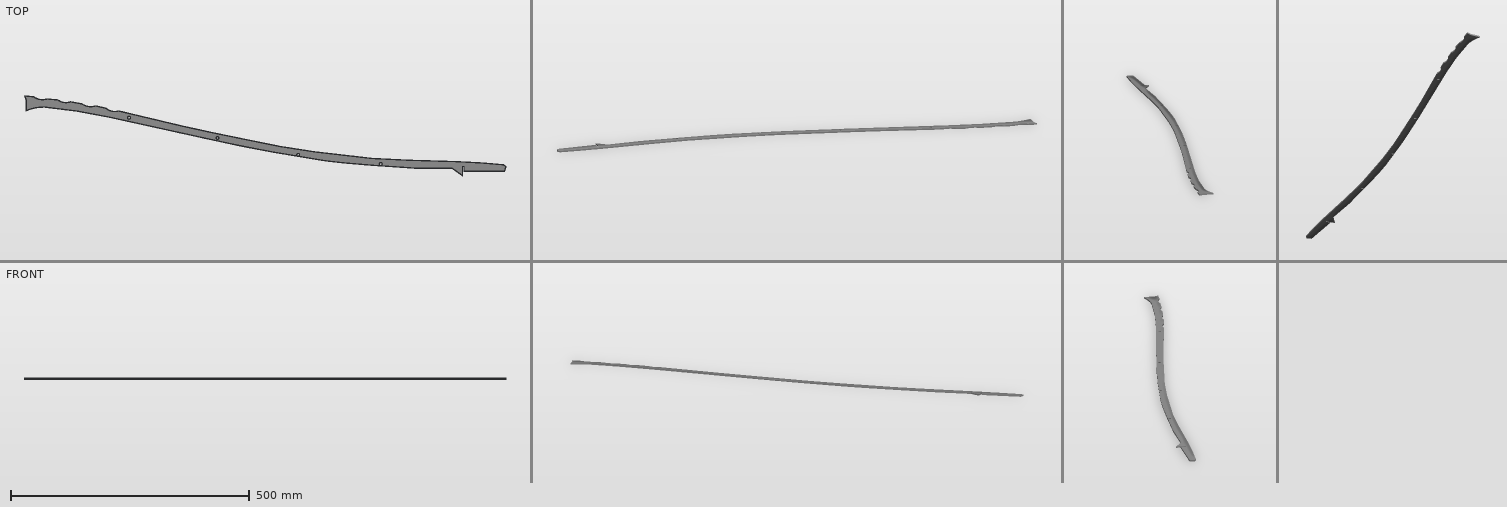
import cadquery as cq

LENGTH = 1011.0
WIDTH = 168.0
THICKNESS = 3.0

FLARE_HEEL = (0.0, WIDTH)
FLARE_SHOULDER = (3.5, 159.0)
FLARE_TOE = (3.5, 136.5)
FLARE_MID = (20.0, 141.8)

SCALLOP_ENDS = [
    ((19.0, 166.0), (47.5, 161.5)),
    ((70.0, 159.5), (97.0, 155.5)),
    ((121.0, 151.0), (149.0, 147.0)),
    ((171.0, 142.0), (197.5, 136.3)),
]
SCALLOP_DEPTH = 3.5
UPPER_CURVE = [
    (274.0, 118.1),
    (365.0, 96.9),
    (457.0, 78.0),
    (548.0, 59.6),
    (640.0, 46.5),
    (731.0, 36.5),
    (822.0, 32.4),
]

END_TOP = (1006.0, 23.3)
END_NOSE = (LENGTH, 19.0)
END_BOTTOM = (1008.0, 9.0)

BARB_ROOT = (898.0, 15.4)
BARB_TIP = (919.8, 0.0)
SLOT_WIDTH = 3.0
SLOT_TOP = 19.2

LOWER_CURVE = [
    (822.0, 15.6),
    (731.0, 21.7),
    (640.0, 30.2),
    (548.0, 44.8),
    (457.0, 61.8),
    (365.0, 81.8),
    (274.0, 102.2),
    (183.0, 121.8),
    (91.0, 138.5),
    (42.0, 144.0),
]

HOLE_DIAMETER = 5.5
HOLE_CENTRES = [(219.5, 121.8), (405.0, 79.3), (574.5, 43.8), (748.0, 24.6)]


def scallop_bottom(start, end):
    """Lowest point of a scallop: SCALLOP_DEPTH below the middle of its chord."""
    return ((start[0] + end[0]) / 2, (start[1] + end[1]) / 2 - SCALLOP_DEPTH)


def bar_outline():
    """Closed outline of the bar, clockwise from the heel of the flared end."""
    outline = cq.Workplane("XY").moveTo(*FLARE_HEEL)
    for start, end in SCALLOP_ENDS:
        outline = outline.lineTo(*start).threePointArc(scallop_bottom(start, end), end)
    outline = outline.spline(UPPER_CURVE + [END_TOP], includeCurrent=True)
    outline = outline.lineTo(*END_NOSE).lineTo(*END_BOTTOM)

    slot_right = BARB_TIP[0] + SLOT_WIDTH
    outline = outline.lineTo(slot_right, END_BOTTOM[1]).lineTo(slot_right, SLOT_TOP)
    outline = outline.lineTo(BARB_TIP[0], SLOT_TOP).lineTo(*BARB_TIP).lineTo(*BARB_ROOT)

    outline = outline.spline(LOWER_CURVE, includeCurrent=True)
    outline = outline.threePointArc(FLARE_MID, FLARE_TOE).lineTo(*FLARE_SHOULDER)
    return outline.close()


def through_holes():
    """Cylinders that cut the holes through the full thickness."""
    return cq.Workplane("XY").pushPoints(HOLE_CENTRES).circle(HOLE_DIAMETER / 2).extrude(THICKNESS)


result = bar_outline().extrude(THICKNESS).cut(through_holes())